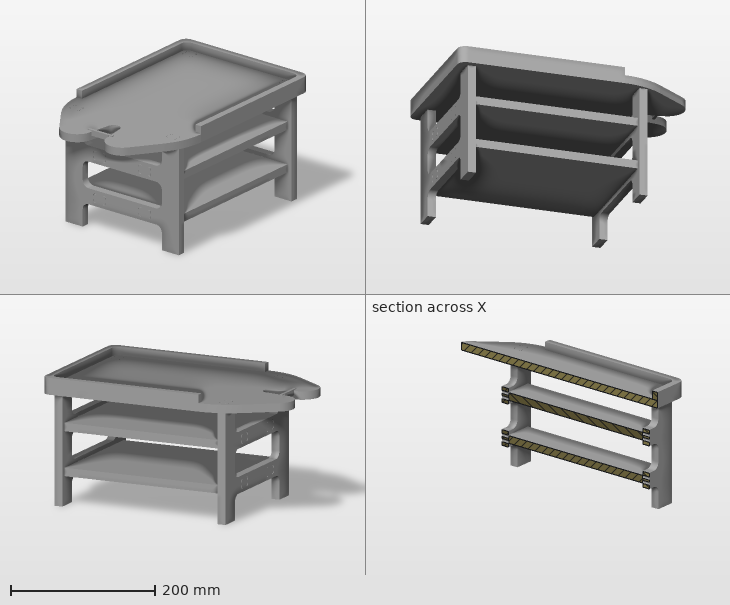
import cadquery as cq
import math


board = 12.0
length = 354.0
width = 220.0
leg_height = 160.0

straight_length = 242.0
back_radius = 12.0
shoulder_radius = 99.8
lobe_radius = 25.0
lobe_offset = 40.0
notch_radius = 10.0
notch_depth = 65.0

rim_width = 10.0
rim_inner_radius = 10.0

frame_width = 200.0
leg_width = 30.0
crossbar_height = 24.0
window_height = 40.0
window_radius = 10.0
back_overhang = 15.0
shelf_span = 240.0
shelf_width = 186.0

leg_tab_width = 16.3
leg_tab_offset = 85.3
shelf_tab_width = 20.0
shelf_tab_offset = 40.0
relief_radius = 3.0

bar_width = 43.5
bar_depth = 4.2
bar_top = 2.5
bar_bottom = 6.0
bar_ear_height = 1.0

top_z = leg_height + board
half_width = width / 2
straight_start = length - straight_length
rear_frame_y = length - back_overhang - board
front_frame_y = rear_frame_y - shelf_span - board
frame_positions = (front_frame_y, rear_frame_y)
upper_crossbar_z = (leg_height + window_height + crossbar_height) / 2
lower_crossbar_z = (leg_height - window_height - crossbar_height) / 2
crossbar_levels = (lower_crossbar_z, upper_crossbar_z)


def on_circle(center, radius, angle):
    """Point on a circle at an angle in radians."""
    return (center[0] + radius * math.cos(angle), center[1] + radius * math.sin(angle))


def tab_slot(tab_width):
    """Cutter for a tab slot in the XY plane, with a round relief through each corner."""
    inset = relief_radius / math.sqrt(2)
    slot = cq.Workplane("XY").rect(tab_width, board).extrude(board)
    reliefs = (
        cq.Workplane("XY")
        .rect(tab_width - 2 * inset, board - 2 * inset, forConstruction=True)
        .vertices()
        .circle(relief_radius)
        .extrude(board)
    )
    return slot.union(reliefs)


def tabletop_half():
    """Right half of the tabletop, without slots; neighbouring curves and lines are tangent."""
    lobe = (lobe_offset, lobe_radius)
    shoulder = (half_width - shoulder_radius, straight_start)
    notch = (0, notch_depth - notch_radius)

    dx, dy = shoulder[0] - lobe[0], shoulder[1] - lobe[1]
    edge_normal = math.atan2(dy, dx) - math.acos((lobe_radius - shoulder_radius) / math.hypot(dx, dy))

    dx, dy = lobe[0] - notch[0], lobe[1] - notch[1]
    wall_normal = math.atan2(dy, dx) + math.acos((notch_radius + lobe_radius) / math.hypot(dx, dy))

    lobe_bottom = -math.pi / 2
    outline = (
        cq.Workplane("XY")
        .moveTo(0, length)
        .lineTo(half_width, length)
        .lineTo(half_width, straight_start)
        .threePointArc(
            on_circle(shoulder, shoulder_radius, edge_normal / 2),
            on_circle(shoulder, shoulder_radius, edge_normal),
        )
        .lineTo(*on_circle(lobe, lobe_radius, edge_normal))
        .threePointArc(
            on_circle(lobe, lobe_radius, lobe_bottom),
            on_circle(lobe, lobe_radius, wall_normal + math.pi),
        )
        .lineTo(*on_circle(notch, notch_radius, wall_normal))
        .threePointArc(
            on_circle(notch, notch_radius, (wall_normal + math.pi / 2) / 2),
            (0, notch_depth),
        )
        .close()
    )
    return outline.extrude(board).edges("|Z and >X and >Y").fillet(back_radius)


def make_tabletop():
    half = tabletop_half()
    top = half.union(half.mirror("YZ")).translate((0, 0, leg_height))
    for frame_y in frame_positions:
        for side in (-1, 1):
            place = (side * leg_tab_offset, frame_y + board / 2, leg_height)
            top = top.cut(tab_slot(leg_tab_width).translate(place))
    return top


def make_rim():
    """U-shaped rim along the sides and the back of the tabletop."""
    outer = (
        cq.Workplane("XY", origin=(0, straight_start, top_z))
        .rect(width, 2 * straight_length)
        .extrude(board)
        .edges("|Z and >Y")
        .fillet(back_radius)
    )
    inner = (
        cq.Workplane("XY", origin=(0, straight_start, top_z))
        .rect(width - 2 * rim_width, 2 * (straight_length - rim_width))
        .extrude(board)
        .edges("|Z and >Y")
        .fillet(rim_inner_radius)
    )
    front_half = cq.Workplane("XY", origin=(0, straight_start - straight_length / 2, top_z))
    front_half = front_half.rect(width, straight_length).extrude(board)
    return outer.cut(inner).cut(front_half)


def make_leg_frame(frame_y):
    """Leg frame with two crossbars, tabs on top and slots for the shelf tabs."""
    def opening(low, high):
        return (
            cq.Workplane("XY")
            .box(frame_width - 2 * leg_width, board, high - low, centered=(True, False, False))
            .translate((0, frame_y, low))
        )

    frame = cq.Workplane("XY").box(frame_width, board, leg_height, centered=(True, False, False))
    frame = frame.translate((0, frame_y, 0))

    half_bar = crossbar_height / 2
    foot_gap = opening(0, lower_crossbar_z - half_bar).edges("|Y and >Z")
    window = opening(lower_crossbar_z + half_bar, upper_crossbar_z - half_bar).edges("|Y")
    top_gap = opening(upper_crossbar_z + half_bar, leg_height).edges("|Y and <Z")
    for gap in (foot_gap, window, top_gap):
        frame = frame.cut(gap.fillet(window_radius))

    for side in (-1, 1):
        tab = cq.Workplane("XY").box(leg_tab_width, board, board, centered=(True, False, False))
        frame = frame.union(tab.translate((side * leg_tab_offset, frame_y, leg_height)))
        for level in crossbar_levels:
            slot = tab_slot(shelf_tab_width).rotate((0, 0, 0), (1, 0, 0), -90)
            frame = frame.cut(slot.translate((side * shelf_tab_offset, frame_y, level)))
    return frame


def make_shelf(level):
    """Shelf between the leg frames, with two tabs through each frame."""
    middle_y = (front_frame_y + rear_frame_y + board) / 2
    shelf = cq.Workplane("XY").box(shelf_width, shelf_span, board)
    for side in (-1, 1):
        tabs = cq.Workplane("XY").box(shelf_tab_width, shelf_span + 2 * board, board)
        shelf = shelf.union(tabs.translate((side * shelf_tab_offset, 0, 0)))
    return shelf.translate((0, middle_y, level))


def make_notch_bar(top):
    """T-shaped bar across the notch: a stem trimmed to the notch walls, with a thin ear on each side."""
    bar_height = bar_top + bar_bottom
    stem = cq.Workplane("XY").box(bar_width, bar_depth, bar_height, centered=(True, False, False))
    stem = stem.translate((0, lobe_radius, top_z - bar_bottom))
    for rise in (0, bar_top):
        stem = stem.cut(top.translate((0, 0, rise)))
    ears = cq.Workplane("XY").box(bar_width, bar_depth, bar_ear_height, centered=(True, False, False))
    ears = ears.translate((0, lobe_radius, top_z + bar_top - bar_ear_height))
    return stem.union(ears)


tabletop = make_tabletop()
rim = make_rim()
leg_frames = [make_leg_frame(frame_y) for frame_y in frame_positions]
shelves = [make_shelf(level) for level in crossbar_levels]
notch_bar = make_notch_bar(tabletop)

result = cq.Compound.makeCompound([
    tabletop.val(),
    rim.val(),
    *[frame.val() for frame in leg_frames],
    *[shelf.val() for shelf in shelves],
    notch_bar.val(),
])